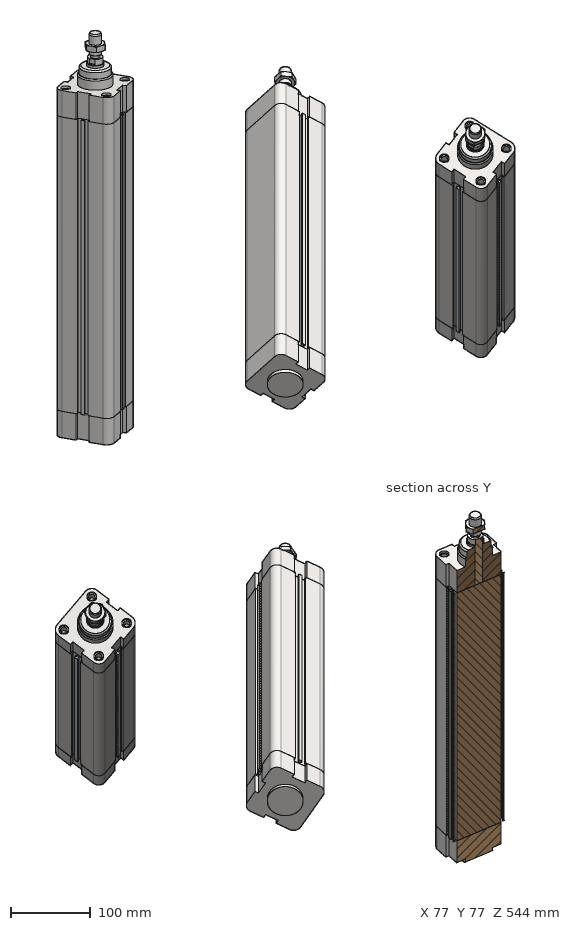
import cadquery as cq
import math

width = 77.0
half_width = width / 2
corner_radius = 10.5

rear_face_z = 5.0
cap_height = 36.0
barrel_length = 398.0
barrel_bottom_z = rear_face_z + cap_height
barrel_top_z = barrel_bottom_z + barrel_length
head_top_z = barrel_top_z + cap_height
overall_height = 544.0

notch_width = 18.0
notch_depth = 5.0
open_side_angles = (-90, 0, 90)

groove_width = 14.5
groove_lip = 2.45
rib_head_width = 5.0
rib_stem_width = 2.0

screw_spacing = 56.0
counterbore_diameter = 12.0
counterbore_depth = 3.0
screw_hole_diameter = 8.0
screw_hole_depth = 16.5
drill_tip_angle = 118

collar_diameter = 45.0
collar_height = 14.0
collar_chamfer = 1.5
bearing_diameter = 41.0
bearing_top_z = 500.0
bearing_chamfer = 2.0
wiper_diameter = 22.5
wiper_height = 3.0

rod_diameter = 19.5
shoulder_z = 511.5
neck_diameter = 12.5
neck_height = 4.0
thread_diameter = 16.0
thread_chamfer_width = 1.0
thread_chamfer_height = 2.0
flats_width = 18.0
flats_height = 6.5

nut_sides = 6
nut_across_flats = 24.0
nut_thickness = 8.0
nut_bottom_z = 521.5
nut_chamfer_height = 0.65
nut_chamfer_slope = 20


def cylinder(diameter, bottom_z, height):
    return cq.Workplane("XY").workplane(offset=bottom_z).circle(diameter / 2).extrude(height)


def square_prism(bottom_z, height):
    prism = cq.Workplane("XY").workplane(offset=bottom_z).rect(width, width).extrude(height)
    return prism.edges("|Z").fillet(corner_radius)


def channel(channel_width, outer_depth, inner_depth, bottom_z, height):
    """Vertical channel in the -Y side, between two depths below that side."""
    mid_y = -half_width + (outer_depth + inner_depth) / 2
    return (
        cq.Workplane("XY")
        .workplane(offset=bottom_z)
        .center(0, mid_y)
        .rect(channel_width, inner_depth - outer_depth)
        .extrude(height)
    )


def cut_in_open_sides(body, cutter):
    for angle in open_side_angles:
        body = body.cut(cutter.rotate((0, 0, 0), (0, 0, 1), angle))
    return body


def notched_block(bottom_z):
    notch = channel(notch_width, 0, notch_depth, bottom_z, cap_height)
    return cut_in_open_sides(square_prism(bottom_z, cap_height), notch)


def make_rear_cap():
    spigot = cylinder(collar_diameter, 0, rear_face_z)
    return notched_block(rear_face_z).union(spigot)


def make_barrel():
    """Square profile with an undercut groove in three sides, parted by a T-shaped rib."""
    span = (barrel_bottom_z, barrel_length)
    opening = channel(groove_width, 0, groove_lip, *span)
    opening = opening.cut(channel(rib_head_width, 0, groove_lip, *span))
    chamber = channel(notch_width, groove_lip, notch_depth, *span)
    chamber = chamber.cut(channel(rib_stem_width, groove_lip, notch_depth, *span))
    barrel = square_prism(*span)
    return cut_in_open_sides(barrel, opening.union(chamber))


def make_screw_hole():
    """Counterbored blind hole with a drill tip, revolved about its own axis."""
    hole_radius = screw_hole_diameter / 2
    counterbore_radius = counterbore_diameter / 2
    tip_height = hole_radius / math.tan(math.radians(drill_tip_angle / 2))
    return (
        cq.Workplane("XZ")
        .lineTo(counterbore_radius, 0)
        .lineTo(counterbore_radius, -counterbore_depth)
        .lineTo(hole_radius, -counterbore_depth)
        .lineTo(hole_radius, -screw_hole_depth)
        .lineTo(0, -screw_hole_depth - tip_height)
        .close()
        .revolve(360, (0, 0, 0), (0, 1, 0))
    )


def make_head():
    head = notched_block(barrel_top_z)

    collar = cylinder(collar_diameter, head_top_z, collar_height).faces(">Z").chamfer(collar_chamfer)
    bearing = cylinder(bearing_diameter, head_top_z, bearing_top_z - head_top_z)
    bearing = bearing.faces(">Z").chamfer(bearing_chamfer)
    wiper = cylinder(wiper_diameter, bearing_top_z, wiper_height)
    head = head.union(collar).union(bearing).union(wiper)

    screw_hole = make_screw_hole()
    offset = screw_spacing / 2
    for x in (-offset, offset):
        for y in (-offset, offset):
            head = head.cut(screw_hole.translate((x, y, head_top_z)))

    rod_bore = cylinder(rod_diameter, barrel_top_z, overall_height - barrel_top_z)
    return head.cut(rod_bore)


def make_rod():
    rod = cylinder(rod_diameter, barrel_top_z, shoulder_z - barrel_top_z)
    flats_cutter = (
        cq.Workplane("XY")
        .workplane(offset=shoulder_z - flats_height)
        .rect(2 * rod_diameter, 2 * rod_diameter)
        .rect(2 * rod_diameter, flats_width)
        .extrude(flats_height)
    )
    neck = cylinder(neck_diameter, shoulder_z, neck_height)
    thread_z = shoulder_z + neck_height
    thread = cylinder(thread_diameter, thread_z, overall_height - thread_z)
    thread = thread.faces(">Z").chamfer(thread_chamfer_height, thread_chamfer_width)
    return rod.cut(flats_cutter).union(neck).union(thread)


def make_nut():
    """Hexagon nut with corners on X, bevelled at both faces and bored for the thread."""
    corner_diameter = nut_across_flats / math.cos(math.pi / nut_sides)
    base = cq.Workplane("XY").workplane(offset=nut_bottom_z)
    hexagon = base.polygon(nut_sides, corner_diameter).extrude(nut_thickness)
    bevel_width = nut_chamfer_height / math.tan(math.radians(nut_chamfer_slope))
    bevelled_disc = (
        cylinder(corner_diameter, nut_bottom_z, nut_thickness)
        .faces("<Z or >Z")
        .chamfer(nut_chamfer_height, bevel_width)
    )
    thread_hole = cylinder(thread_diameter, nut_bottom_z, nut_thickness)
    return hexagon.intersect(bevelled_disc).cut(thread_hole)


rear_cap = make_rear_cap()
barrel = make_barrel()
head = make_head()
rod = make_rod()
nut = make_nut()

result = cq.Compound.makeCompound(
    [rear_cap.val(), barrel.val(), head.val(), rod.val(), nut.val()]
)